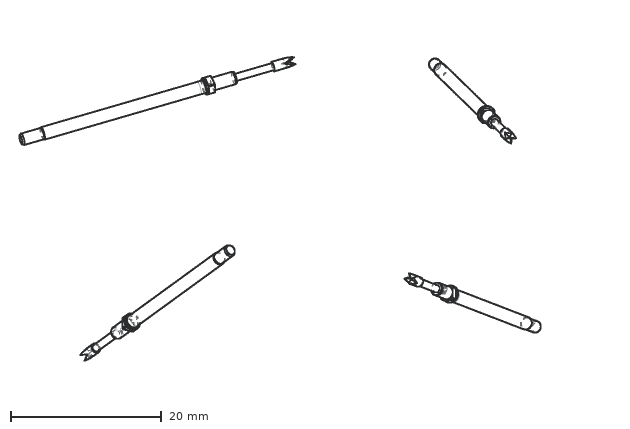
import cadquery as cq
import math


total_length = 38.8
crown_length = 3.0
shaft_length = 5.4
nose_length = 0.2
front_barrel_length = 2.95
square_length = 0.92
collar_length = 0.25
collar_bevel_length = 0.12
press_zone_length = 0.7
tail_length = 3.0

crown_diameter = 1.35
shaft_diameter = 1.0
nose_diameter = 1.6
barrel_diameter = 1.75
square_side = barrel_diameter
collar_diameter = 2.3
collar_bevel_diameter = 2.0
press_zone_diameter = 1.8
tail_diameter = 1.6

barrel_end_chamfer = 0.1
tail_chamfer_length = 0.25
tail_chamfer_depth = 0.15
notch_depth = 1.6
tooth_count = 4

square_end = collar_length
square_start = square_end + square_length
barrel_start = square_start + front_barrel_length
nose_start = barrel_start + nose_length
crown_base = nose_start + shaft_length
tip = crown_base + crown_length
tooth_root = tip - notch_depth
tail_end = tip - total_length
barrel_end = tail_end + tail_length
press_zone_start = -collar_bevel_length
press_zone_end = press_zone_start - press_zone_length


def make_turned_body():
    """Revolve the half profile of every round section about the Y axis."""
    profile = [
        (0, tooth_root),
        (crown_diameter / 2, tooth_root),
        (crown_diameter / 2, crown_base),
        (shaft_diameter / 2, crown_base),
        (shaft_diameter / 2, nose_start),
        (nose_diameter / 2, nose_start),
        (barrel_diameter / 2, barrel_start),
        (barrel_diameter / 2, collar_length),
        (collar_diameter / 2, collar_length),
        (collar_diameter / 2, 0),
        (collar_bevel_diameter / 2, press_zone_start),
        (press_zone_diameter / 2, press_zone_start),
        (barrel_diameter / 2, press_zone_end),
        (barrel_diameter / 2, barrel_end + barrel_end_chamfer),
        (barrel_diameter / 2 - barrel_end_chamfer, barrel_end),
        (tail_diameter / 2, barrel_end),
        (tail_diameter / 2, tail_end + tail_chamfer_length),
        (tail_diameter / 2 - tail_chamfer_depth, tail_end),
        (0, tail_end),
    ]
    return cq.Workplane("XY").polyline(profile).close().revolve(360, (0, 0, 0), (0, 1, 0))


def make_square_stop():
    """Square section ahead of the collar, its corners rounded to the collar diameter."""
    start_plane = cq.Workplane("XZ", origin=(0, square_start, 0))
    square = start_plane.rect(square_side, square_side).extrude(square_length)
    corner_round = start_plane.circle(collar_diameter / 2).extrude(square_length)
    return square.intersect(corner_round)


def make_crown_tooth(turn):
    """Roof-shaped prism whose ridge climbs at 45 degrees from the axis to the crown rim.

    The tooth points to +Z before being turned about Y by the given angle in degrees.
    """
    crown_radius = crown_diameter / 2
    diagonal_offset = crown_radius * math.sin(math.radians(45))
    flank_slope = 1 + (notch_depth - crown_radius) / diagonal_offset

    roof_height = notch_depth
    roof_half_width = roof_height * math.sqrt(2) / flank_slope

    back_offset = 2 * crown_radius
    ridge_length = (back_offset + crown_radius) * math.sqrt(2)
    ridge_start = (0, tip - crown_radius - back_offset, -back_offset)
    section_plane = cq.Plane(origin=ridge_start, xDir=(1, 0, 0), normal=(0, 1, 1))
    roof = (
        cq.Workplane(section_plane)
        .polyline([(-roof_half_width, -roof_height), (0, 0), (roof_half_width, -roof_height)])
        .close()
        .extrude(ridge_length)
    )
    return roof.rotate((0, 0, 0), (0, 1, 0), turn)


def make_crown_teeth():
    """All teeth, trimmed to the crown cylinder above the notch level."""
    envelope = cq.Workplane("XZ", origin=(0, tip, 0)).circle(crown_diameter / 2).extrude(notch_depth)
    teeth = make_crown_tooth(0)
    for index in range(1, tooth_count):
        teeth = teeth.union(make_crown_tooth(index * 360 / tooth_count))
    return envelope.intersect(teeth)


result = make_turned_body().union(make_square_stop()).union(make_crown_teeth())